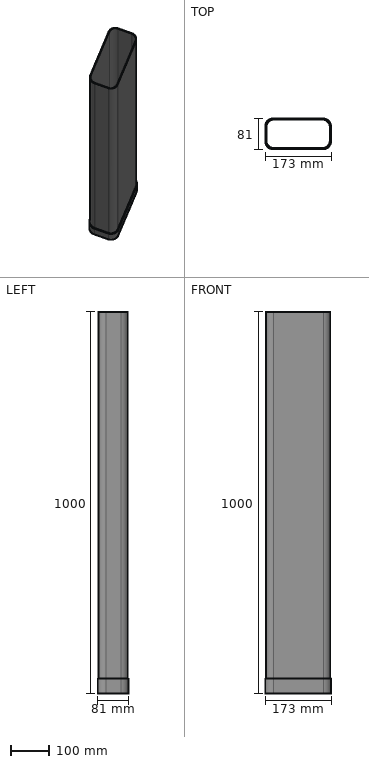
import cadquery as cq

total_height = 1000.0
collar_width = 173.0
collar_depth = 81.0
collar_height = 40.0
collar_corner_radius = 21.0

collar_step = 2.0
tube_wall = 2.0
rim_chamfer = 1.5


def rounded_bar(inset, height):
    """Upright rounded rectangle, inset evenly from the collar outline."""
    return (
        cq.Workplane("XY")
        .rect(collar_width - 2 * inset, collar_depth - 2 * inset)
        .extrude(height)
        .edges("|Z")
        .fillet(collar_corner_radius - inset)
    )


tube = rounded_bar(collar_step, total_height)
collar = rounded_bar(0, collar_height).faces(">Z").chamfer(rim_chamfer)

bore = rounded_bar(collar_step + tube_wall, total_height)

result = tube.union(collar).cut(bore)